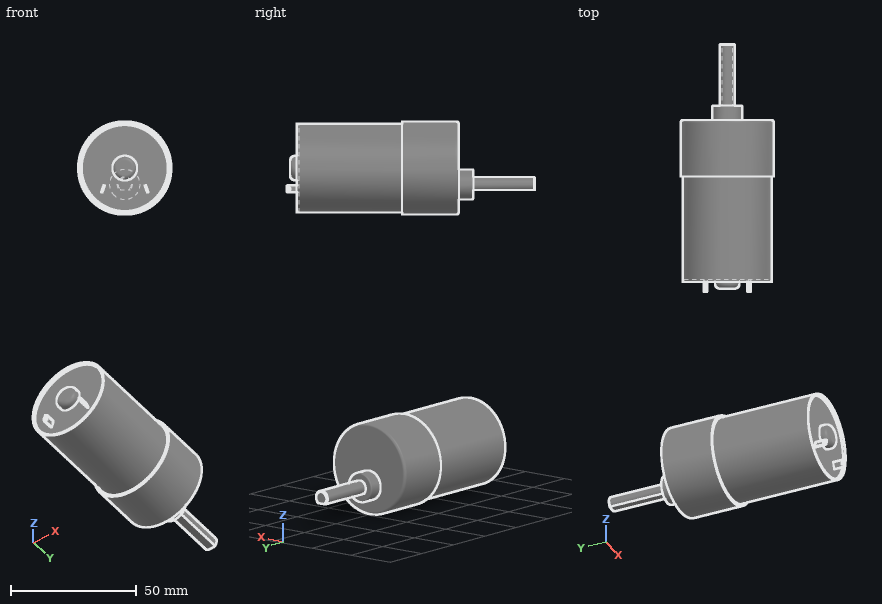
import cadquery as cq


GEARBOX_DIAMETER = 37.2
GEARBOX_LENGTH = 22.6
GEARBOX_FILLET = 1.2
SHAFT_OFFSET = 6.5
BOSS_DIAMETER = 12.1
BOSS_LENGTH = 5.7
BOSS_FILLET = 0.6
SHAFT_DIAMETER = 6.0
SHAFT_LENGTH = 24.5
SHAFT_CHAMFER = 0.4
SHAFT_FLAT_HEIGHT = 5.2

MOTOR_DIAMETER = 35.5
MOTOR_LENGTH = 42.0
RIM_THICKNESS = 0.6
RECESS_DEPTH = 1.0
CAP_DIAMETER = 9.9
CAP_PROJECTION = 2.7
CAP_FILLET = 2.1

TERMINAL_PROJECTION = 4.0
TERMINAL_WIDTH = 3.0
TERMINAL_THICKNESS = 0.5
TERMINAL_CHAMFER = 0.4
TERMINAL_HOLE_DIAMETER = 0.9
TERMINAL_HOLE_INSET = 1.0
TERMINAL_X = 8.7
TERMINAL_Z = -8.3
TERMINAL_TILT = 20.0

RECESS_FLOOR_Y = RECESS_DEPTH - MOTOR_LENGTH


def cylinder(diameter, y_start, length, z=0.0):
    """Cylinder running toward +Y from y_start, its axis at height z."""
    start = cq.Vector(0, y_start, z)
    return cq.Workplane(cq.Solid.makeCylinder(diameter / 2, length, start, cq.Vector(0, 1, 0)))


def make_shaft(y_start):
    """D-shaped output shaft with its flat facing down."""
    shaft = cylinder(SHAFT_DIAMETER, y_start, SHAFT_LENGTH, -SHAFT_OFFSET)
    shaft = shaft.faces(">Y").chamfer(SHAFT_CHAMFER)
    flat_z = SHAFT_DIAMETER / 2 - SHAFT_FLAT_HEIGHT - SHAFT_OFFSET
    below_flat = cq.Workplane().box(
        SHAFT_DIAMETER, SHAFT_LENGTH, SHAFT_DIAMETER, centered=(True, False, False)
    ).translate((0, y_start, flat_z - SHAFT_DIAMETER))
    return shaft.cut(below_flat)


def make_gearbox():
    """Round housing with an eccentric boss and output shaft."""
    housing = cylinder(GEARBOX_DIAMETER, 0, GEARBOX_LENGTH).faces(">Y").edges().fillet(GEARBOX_FILLET)
    boss = cylinder(BOSS_DIAMETER, GEARBOX_LENGTH, BOSS_LENGTH, -SHAFT_OFFSET)
    boss = boss.faces(">Y").edges().fillet(BOSS_FILLET)
    return housing.union(boss).union(make_shaft(GEARBOX_LENGTH + BOSS_LENGTH))


def make_terminal(side):
    """Flat pierced tab on side -1 or +1, its lower edge leaning outward."""
    length = TERMINAL_PROJECTION + RECESS_DEPTH
    tab = cq.Workplane().box(TERMINAL_THICKNESS, length, TERMINAL_WIDTH, centered=(True, False, True))
    tab = tab.faces("<Y").edges("|X").chamfer(TERMINAL_CHAMFER)
    hole = (
        cq.Workplane("YZ")
        .center(TERMINAL_HOLE_INSET, 0)
        .circle(TERMINAL_HOLE_DIAMETER / 2)
        .extrude(TERMINAL_THICKNESS, both=True)
    )
    tab = tab.cut(hole).rotate((0, 0, 0), (0, 1, 0), -side * TERMINAL_TILT)
    return tab.translate((side * TERMINAL_X, RECESS_FLOOR_Y - length, TERMINAL_Z))


def make_motor():
    """Motor can with a recessed end, rounded bearing cap and two terminals."""
    motor = cylinder(MOTOR_DIAMETER, -MOTOR_LENGTH, MOTOR_LENGTH)
    motor = motor.cut(cylinder(MOTOR_DIAMETER - 2 * RIM_THICKNESS, -MOTOR_LENGTH, RECESS_DEPTH))
    cap = cylinder(CAP_DIAMETER, -MOTOR_LENGTH - CAP_PROJECTION, CAP_PROJECTION + RECESS_DEPTH)
    motor = motor.union(cap.faces("<Y").edges().fillet(CAP_FILLET))
    for side in (-1, 1):
        motor = motor.union(make_terminal(side))
    return motor


gearbox = make_gearbox()
motor = make_motor()

result = cq.Compound.makeCompound([gearbox.solids().val(), motor.solids().val()])